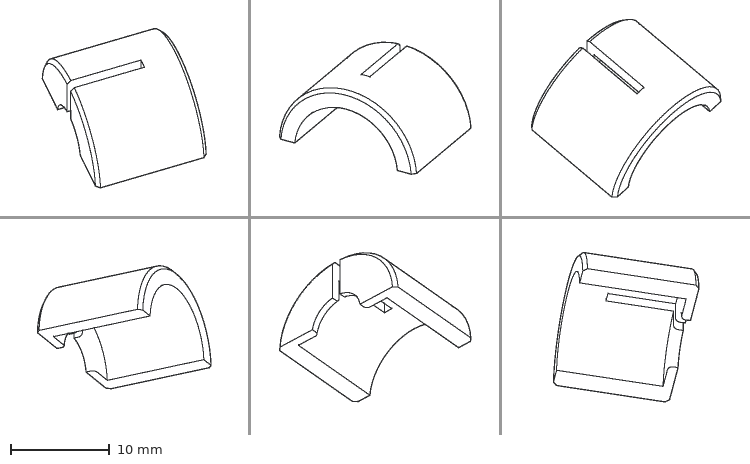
import cadquery as cq

width = 15.98
height = 7.5
length = 12.02
bore_radius = 3.25
cavity_radius = 6.0
lip_length = 1.0
chamfer = 0.4
lip_round = 0.5
slot_width = 1.0
slot_length = 8.0

outer_radius = (height**2 + (width / 2) ** 2) / (2 * height)
split_z = outer_radius - height


def cylinder_along_y(radius, start, depth):
    """Cylinder on the Y axis, running from start toward +Y."""
    return cq.Workplane("XZ", origin=(0, start, 0)).circle(radius).extrude(-depth)


shell = cylinder_along_y(outer_radius, 0, length).edges().chamfer(chamfer)
shell = shell.cut(cylinder_along_y(bore_radius, 0, length))
shell = shell.cut(cylinder_along_y(cavity_radius, lip_length, length - lip_length))

lip_face = shell.faces("+Y").faces("<Y")
shell = lip_face.edges(cq.selectors.RadiusNthSelector(0)).fillet(lip_round)

upper_block = cq.Workplane("XY", origin=(0, length / 2, split_z)).box(
    2 * outer_radius, length, height, centered=(True, True, False)
)
half_shell = shell.intersect(upper_block)

slot = cq.Workplane("XY", origin=(0, slot_length / 2, 0)).box(
    slot_width, slot_length, outer_radius, centered=(True, True, False)
)
result = half_shell.cut(slot)